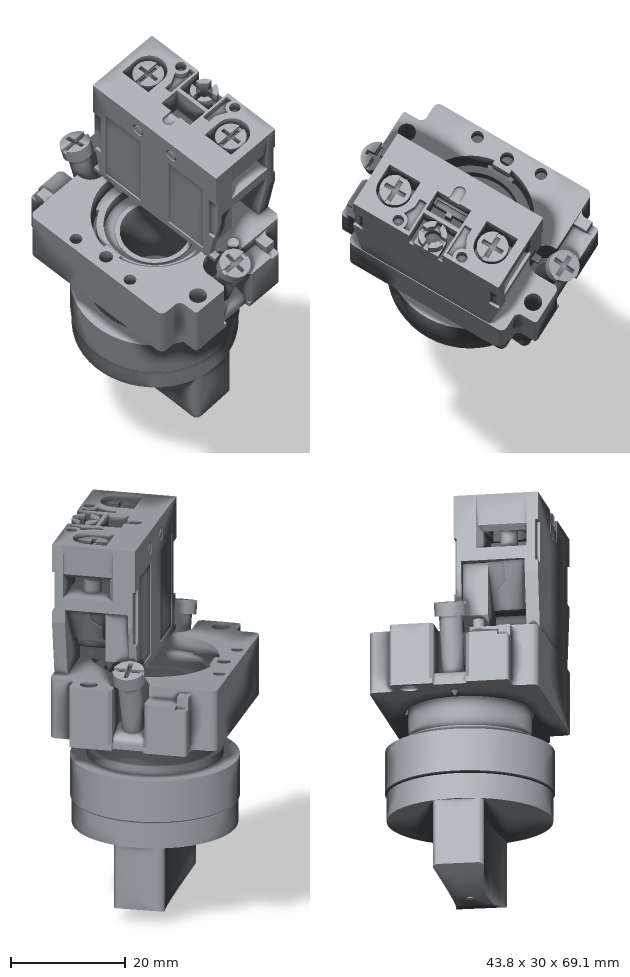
import cadquery as cq
import math


KNOB_DISC_BOTTOM = 14.1
KNOB_DISC_TOP = 18.65
BEZEL_BOTTOM = 19.1
BEZEL_TOP = 26.7
FLANGE_TOP = 28.2
COLLAR_BOTTOM = 33.65
TUBE_TOP = 42.15
COLLAR_TOP = 44.7
BLOCK_TOP = 69.1

JOINT_OVERLAP = 0.7
EDGE_REACH = 0.1

KNOB_DISC_RADIUS = 14.6
KNOB_NECK_RADIUS = 12.65
GRIP_HALF_LENGTH = 14.0
GRIP_HALF_WIDTH = 4.8
GRIP_WAIST = 3.1
GRIP_FILLET = 1.05
GRIP_TURN = 1.8
GRIP_END_RISE = 2.4
PIP_DIAMETER = 1.25
PIP_HEIGHT = 0.15

BEZEL_RADIUS = 14.85
FLANGE_RADIUS = 11.95
TUBE_RADIUS = 10.85
TUBE_BORE_RADIUS = 9.0
TUBE_FLOOR = 39.7
SLEEVE_RADIUS = 7.0
SLEEVE_BORE_RADIUS = 6.15
SLEEVE_TOP = 40.2
SLEEVE_FLOOR = 24.9
RELIEF_RADIUS = 10.2
RELIEF_DEPTH = 2.1
RELIEF_START = 206
RELIEF_END = 256

COLLAR_HALF_WIDTH = 15.95
COLLAR_HALF_DEPTH = 15.0
COLLAR_FILLET = 1.2
WING_HALF_SPAN = 20.0
WING_HALF_DEPTH = 10.6
WING_FILLET = 0.55
WING_ROOT_FILLET = 1.1
COLLAR_BORE_RADIUS = 11.25
KEY_HALF_WIDTH = 1.7
KEY_TIP = 10.35
WING_HOLE_X = 17.5
WING_HOLE_Y = 7.5
WING_HOLE_DIAMETER = 3.2
LEDGE_TOP = 42.65
CORNER_POST_TOP = 44.1
CORNER_STEP_TOP = 42.0
CORNER_POST_SIDE = 18.6
CORNER_POST_FRONT = 8.6
DOWEL_HOLE_X = 6.5
DOWEL_HOLE_Y = 13.2
DOWEL_HOLE_DIAMETER = 2.2
DOWEL_HOLE_DEPTH = 2.75
CENTRE_HOLE_Y = 12.45
CENTRE_HOLE_DIAMETER = 2.5
CENTRE_STEP_DEPTH = 1.4
PEG_X = 14.8
PEG_Y = 4.3
PEG_DIAMETER = 2.0
PEG_TOP = 46.2

SLOT_RADIUS = 2.9
SLOT_CENTRE_X = 15.55
SLOT_LIP_BOTTOM = 34.6
SLOT_LIP_CHAMFER = 0.6
SEAT_FACE_X = 18.9
SEAT_FILLET = 1.5
CLAMP_TILT = 18
CLAMP_HEAD_X = 19.3
CLAMP_HEAD_Z = 48.5
CLAMP_LENGTH = 16.5
CLAMP_HEAD_HEIGHT = 2.4
CLAMP_SHANK_DIAMETER = 4.0
CLAMP_POINT_LENGTH = 2.75

HEAD_DIAMETER = 5.5
HEAD_SLOT_WIDTH = 1.0
HEAD_SLOT_DEPTH = 0.55
HEAD_CROSS_LENGTH = 4.15
HEAD_CROSS_WIDTH = 0.8
HEAD_CROSS_DEPTH = 1.1

BLOCK_HALF_WIDTH = 14.85
BLOCK_FRONT = -0.15
BLOCK_BACK = 14.85
TAPER_TOP = 54.7
TAPER_HALF_WIDTH = 13.05
FOOT_HALF_WIDTH = 14.6
FOOT_BACK = 1.2
FOOT_TOP = 45.55

LABEL_INNER = 3.4
LABEL_OUTER = 11.75
LABEL_BOTTOM = 46.0
LABEL_TOP = 63.15
LABEL_DEPTH = 0.2
RING_X = 4.0
RING_Z = 65.9
RING_OUTER_DIAMETER = 2.5
RING_INNER_DIAMETER = 1.8
RING_DEPTH = 0.35

NOTCH_INNER = 13.0
NOTCH_DEPTH = 0.5
FRONT_NOTCH = (51.35, 61.35)
BACK_NOTCH = (56.7, 64.05)

WELL_X = 9.95
WELL_ARC_Y = 9.05
WELL_RADIUS = 3.2
WELL_FRONT = 5.45
TERMINAL_Y = 8.8
TERMINAL_HEAD_TOP = 68.4
TERMINAL_HEAD_HEIGHT = 2.1
TERMINAL_SHANK_DIAMETER = 3.2
WIRE_BOTTOM = 59.4
WIRE_TOP = 62.8
WIRE_MOUTH_TOP = 63.65
WIRE_FRONT = 4.85
WIRE_MOUTH_FRONT = 3.9
WIRE_BACK = 12.85
WIRE_PANEL_SLOPE = 0.4
WIRE_FUNNEL_DEPTH = 1.65
WIRE_INNER = 5.9

POCKET_TOP = 57.15
POCKET_FRONT = 5.7
POCKET_BACK = 12.5
POCKET_CEILING_OUTER = 13.8
POCKET_CEILING_INNER = 8.2
POCKET_CEILING_BOTTOM = 49.8
POCKET_INNER = 4.15
POCKET_BAR_RADIUS = 1.45
CEILING_STEP = 0.3
STEP_UPPER_Y = 8.6
STEP_UPPER_Z = 54.25
STEP_LOWER_Y = 6.9
STEP_LOWER_Z = 52.7
PANEL_X = 13.1
PANEL_BOTTOM = 47.7
PEG_ROOM_X = 10.35

CLIP_HALF_WIDTH = 3.45
CLIP_FRONT = 9.9
CLIP_DEPTH = 4.15
CROWN_Y = 12.5
CROWN_DIAMETER = 5.0
CROWN_BORE = 3.0
CROWN_SLOT_WIDTH = 1.05
CROWN_SLOT_DEPTH = 2.1
CROWN_BASE_TOP = 66.7
LATCH_FRONT = 5.25
LATCH_BACK = 9.2
LATCH_DEPTH = 5.5
LATCH_PLATE_BACK = 6.6
LATCH_PLATE_DEPTH = 3.45
LATCH_TAB_HALF_WIDTH = 0.55
LATCH_TAB_BACK = 7.45
LATCH_GROOVE_HALF_WIDTH = 3.05
LATCH_GROOVE_FRONT = 5.7
LATCH_GROOVE_DEPTH = 0.55
KEYWAY_DIAMETER = 2.15
KEYWAY_FRONT = 2.35
KEYWAY_DEPTH = 0.7
PIN_HOLE_X = 6.5
PIN_HOLE_Y = 13.4
PIN_HOLE_DIAMETER = 2.0
PIN_HOLE_DEPTH = 2.1
SPRING_INNER = 3.9
SPRING_OUTER = 5.3
SPRING_BEND_X = 6.4
SPRING_FRONT = 8.1
SPRING_BEND_FRONT = 9.75
SPRING_BEND_BACK = 11.95
SPRING_BACK = 14.2
SPRING_DEPTH = 1.4
SPRING_BOSS_RADIUS = 1.6


def box(x0, x1, y0, y1, z0, z1):
    """Block between two opposite corners."""
    return cq.Workplane("XY").box(x1 - x0, y1 - y0, z1 - z0, centered=False).translate((x0, y0, z0))


def cylinder(radius, z0, z1, x=0, y=0):
    """Upright cylinder."""
    return cq.Workplane("XY").circle(radius).extrude(z1 - z0).translate((x, y, z0))


def both_sides(shape):
    """The shape together with its mirror image across the YZ plane."""
    return shape.union(shape.mirror("YZ"))


def half_turn_pair(shape):
    """The shape together with its copy turned half around the switch axis."""
    return shape.union(shape.rotate((0, 0, 0), (0, 0, 1), 180))


def screw_head(height):
    """Screw head with a straight slot and a deeper cross; the top centre is at the origin."""
    head = cylinder(HEAD_DIAMETER / 2, -height, 0)
    slot = cq.Workplane("XY").rect(HEAD_SLOT_WIDTH, 2 * HEAD_DIAMETER).extrude(-HEAD_SLOT_DEPTH)
    cross = cq.Workplane("XY").rect(HEAD_CROSS_LENGTH, HEAD_CROSS_WIDTH).extrude(-HEAD_CROSS_DEPTH)
    cross = cross.union(cross.rotate((0, 0, 0), (0, 0, 1), 90))
    return head.cut(slot).cut(cross)


def make_knob():
    """Disc above a waisted, slightly turned grip, whose lower edge is a shallow arc with a centre pip."""
    corner_x = GRIP_HALF_LENGTH
    corner_y = GRIP_HALF_WIDTH
    grip = (
        cq.Workplane("XY")
        .moveTo(-corner_x, -corner_y)
        .threePointArc((0, -GRIP_WAIST), (corner_x, -corner_y))
        .lineTo(corner_x, corner_y)
        .threePointArc((0, GRIP_WAIST), (-corner_x, corner_y))
        .close()
        .extrude(KNOB_DISC_BOTTOM)
        .edges("|Z")
        .fillet(GRIP_FILLET)
    )
    arc_outline = (
        cq.Workplane("XZ")
        .moveTo(-corner_x, GRIP_END_RISE)
        .threePointArc((0, PIP_HEIGHT), (corner_x, GRIP_END_RISE))
        .lineTo(corner_x, KNOB_DISC_BOTTOM)
        .lineTo(-corner_x, KNOB_DISC_BOTTOM)
        .close()
        .extrude(corner_y, both=True)
    )
    grip = grip.intersect(arc_outline).rotate((0, 0, 0), (0, 0, 1), GRIP_TURN)
    pip = cylinder(PIP_DIAMETER / 2, 0, 2 * PIP_HEIGHT)
    disc = cylinder(KNOB_DISC_RADIUS, KNOB_DISC_BOTTOM, KNOB_DISC_TOP)
    neck = cylinder(KNOB_NECK_RADIUS, KNOB_DISC_TOP, BEZEL_BOTTOM)
    return grip.union(pip).union(disc).union(neck)


def tube_relief():
    """Sector that thins the top of the tube wall on one side of the key."""
    reach = COLLAR_BORE_RADIUS

    def point(radius, degrees):
        angle = math.radians(degrees)
        return (radius * math.cos(angle), radius * math.sin(angle))

    middle = (RELIEF_START + RELIEF_END) / 2
    return (
        cq.Workplane("XY")
        .moveTo(*point(RELIEF_RADIUS, RELIEF_START))
        .threePointArc(point(RELIEF_RADIUS, middle), point(RELIEF_RADIUS, RELIEF_END))
        .lineTo(*point(reach, RELIEF_END))
        .threePointArc(point(reach, middle), point(reach, RELIEF_START))
        .close()
        .extrude(RELIEF_DEPTH)
        .translate((0, 0, TUBE_TOP - RELIEF_DEPTH))
    )


def make_bezel():
    """Bezel ring, flange and tube, with a bored sleeve inside the tube."""
    body = cylinder(BEZEL_RADIUS, BEZEL_BOTTOM, BEZEL_TOP)
    body = body.union(cylinder(FLANGE_RADIUS, BEZEL_TOP, FLANGE_TOP))
    body = body.union(cylinder(TUBE_RADIUS, FLANGE_TOP, TUBE_TOP))
    body = body.cut(cylinder(TUBE_BORE_RADIUS, TUBE_FLOOR, TUBE_TOP))
    body = body.union(cylinder(SLEEVE_RADIUS, TUBE_FLOOR, SLEEVE_TOP))
    body = body.cut(cylinder(SLEEVE_BORE_RADIUS, SLEEVE_FLOOR, SLEEVE_TOP))
    body = body.cut(both_sides(tube_relief()))
    keyway = box(-KEY_HALF_WIDTH, KEY_HALF_WIDTH, -COLLAR_BORE_RADIUS, -KEY_TIP, COLLAR_BOTTOM, TUBE_TOP)
    return body.cut(keyway)


def collar_plate():
    """Rounded plate with a wing on either side."""
    height = COLLAR_TOP - COLLAR_BOTTOM
    plate = cq.Workplane("XY").rect(2 * COLLAR_HALF_WIDTH, 2 * COLLAR_HALF_DEPTH).extrude(height)
    plate = plate.edges("|Z").fillet(COLLAR_FILLET)
    wings = cq.Workplane("XY").rect(2 * WING_HALF_SPAN, 2 * WING_HALF_DEPTH).extrude(height)
    wings = wings.edges("|Z").fillet(WING_FILLET)
    plate = plate.union(wings)
    for side_x in (-1, 1):
        for side_y in (-1, 1):
            x = side_x * COLLAR_HALF_WIDTH
            y = side_y * WING_HALF_DEPTH
            lower = (x - EDGE_REACH, y - EDGE_REACH, 0)
            upper = (x + EDGE_REACH, y + EDGE_REACH, height)
            root = cq.selectors.BoxSelector(lower, upper)
            plate = plate.edges(root).fillet(WING_ROOT_FILLET)
    return plate.translate((0, 0, COLLAR_BOTTOM))


def wing_step():
    """Material missing above the front part of the left wing."""
    outer = -WING_HALF_SPAN
    inner = -COLLAR_HALF_WIDTH
    ledge = box(outer, inner, -CORNER_POST_FRONT, -SLOT_RADIUS, LEDGE_TOP, COLLAR_TOP)
    root = -WING_HALF_DEPTH - WING_ROOT_FILLET
    post = box(outer, inner, root, -CORNER_POST_FRONT, CORNER_POST_TOP, COLLAR_TOP)
    step = box(outer, -CORNER_POST_SIDE, -WING_HALF_DEPTH, -CORNER_POST_FRONT, CORNER_STEP_TOP, COLLAR_TOP)
    return ledge.union(post).union(step)


def screw_slot():
    """Round-ended slot in the left wing, flared at its mouth, with a tilted seat left standing."""
    outer = -WING_HALF_SPAN
    slot = box(outer, -SLOT_CENTRE_X, -SLOT_RADIUS, SLOT_RADIUS, COLLAR_BOTTOM, COLLAR_TOP)
    slot = slot.union(cylinder(SLOT_RADIUS, COLLAR_BOTTOM, COLLAR_TOP, -SLOT_CENTRE_X))
    flare = SLOT_RADIUS + SLOT_LIP_CHAMFER
    mouth = (
        cq.Workplane("XY")
        .polyline([(outer, -flare), (outer, flare), (outer + SLOT_LIP_CHAMFER, SLOT_RADIUS),
                   (outer + SLOT_LIP_CHAMFER, -SLOT_RADIUS)])
        .close()
        .extrude(COLLAR_TOP - SLOT_LIP_BOTTOM)
        .translate((0, 0, SLOT_LIP_BOTTOM))
    )
    inner = -SLOT_CENTRE_X + SLOT_RADIUS
    fillet_setback = SEAT_FILLET * math.tan(math.radians((90 - CLAMP_TILT) / 2))
    seat_outer_z = SLOT_LIP_BOTTOM + fillet_setback
    seat_inner_z = seat_outer_z + (SEAT_FACE_X + inner) * math.tan(math.radians(CLAMP_TILT))
    seat = (
        cq.Workplane("XZ")
        .polyline([(-SEAT_FACE_X, COLLAR_BOTTOM), (-SEAT_FACE_X, seat_outer_z),
                   (inner, seat_inner_z), (inner, COLLAR_BOTTOM)])
        .close()
        .extrude(SLOT_RADIUS, both=True)
    )
    rim = cq.selectors.NearestToPointSelector((-SEAT_FACE_X, 0, seat_outer_z))
    seat = seat.edges(rim).fillet(SEAT_FILLET)
    return slot.union(mouth).cut(seat)


def clamp_screw():
    """Pointed screw of the left wing, leaning outwards at the top."""
    radius = CLAMP_SHANK_DIAMETER / 2
    point_start = CLAMP_POINT_LENGTH - CLAMP_LENGTH
    shank = (
        cq.Workplane("XZ")
        .polyline([(0, -CLAMP_HEAD_HEIGHT), (radius, -CLAMP_HEAD_HEIGHT), (radius, point_start),
                   (0, -CLAMP_LENGTH)])
        .close()
        .revolve(360, (0, 0, 0), (0, 1, 0))
    )
    screw = screw_head(CLAMP_HEAD_HEIGHT).union(shank)
    screw = screw.rotate((0, 0, 0), (0, 1, 0), -CLAMP_TILT)
    return screw.translate((-CLAMP_HEAD_X, 0, CLAMP_HEAD_Z))


def centre_hole():
    """Blind hole at the front, half of its floor one step deeper."""
    radius = CENTRE_HOLE_DIAMETER / 2
    floor = COLLAR_TOP - DOWEL_HOLE_DEPTH
    deep = cylinder(radius, floor - CENTRE_STEP_DEPTH, COLLAR_TOP, 0, -CENTRE_HOLE_Y)
    step = box(-radius, radius, -CENTRE_HOLE_Y - radius, -CENTRE_HOLE_Y, floor - CENTRE_STEP_DEPTH, floor)
    return deep.cut(step)


def make_collar():
    """Clamping collar with its key, holes, locating peg and two leaning screws."""
    collar = collar_plate().cut(cylinder(COLLAR_BORE_RADIUS, COLLAR_BOTTOM, COLLAR_TOP))
    key_root = COLLAR_BORE_RADIUS + JOINT_OVERLAP
    key = box(-KEY_HALF_WIDTH, KEY_HALF_WIDTH, -key_root, -KEY_TIP, COLLAR_BOTTOM, COLLAR_TOP)
    collar = collar.union(key)
    wing_hole = cylinder(WING_HOLE_DIAMETER / 2, COLLAR_BOTTOM, COLLAR_TOP, -WING_HOLE_X, WING_HOLE_Y)
    collar = collar.cut(half_turn_pair(wing_hole))
    collar = collar.cut(half_turn_pair(wing_step()))
    dowel_floor = COLLAR_TOP - DOWEL_HOLE_DEPTH
    dowel_hole = cylinder(DOWEL_HOLE_DIAMETER / 2, dowel_floor, COLLAR_TOP, DOWEL_HOLE_X, -DOWEL_HOLE_Y)
    collar = collar.cut(both_sides(dowel_hole))
    collar = collar.cut(centre_hole())
    collar = collar.union(cylinder(PEG_DIAMETER / 2, COLLAR_TOP - JOINT_OVERLAP, PEG_TOP, PEG_X, PEG_Y))
    collar = collar.cut(both_sides(screw_slot()))
    return collar.union(both_sides(clamp_screw()))


def block_body():
    """Block tapering towards its foot."""
    right = [(BLOCK_HALF_WIDTH, BLOCK_TOP), (BLOCK_HALF_WIDTH, TAPER_TOP),
             (TAPER_HALF_WIDTH, COLLAR_TOP)]
    left = [(-x, z) for x, z in reversed(right)]
    depth = BLOCK_BACK - BLOCK_FRONT
    body = cq.Workplane("XZ").polyline(right + left).close().extrude(-depth).translate((0, BLOCK_FRONT, 0))
    foot = box(-FOOT_HALF_WIDTH, FOOT_HALF_WIDTH, BLOCK_FRONT, FOOT_BACK, COLLAR_TOP, FOOT_TOP)
    return body.union(foot)


def front_marks():
    """Shallow label recess and ring groove on the left half of the front face."""
    label = box(-LABEL_OUTER, -LABEL_INNER, BLOCK_FRONT, BLOCK_FRONT + LABEL_DEPTH, LABEL_BOTTOM, LABEL_TOP)
    ring = (
        cq.Workplane("XZ")
        .circle(RING_OUTER_DIAMETER / 2)
        .circle(RING_INNER_DIAMETER / 2)
        .extrude(-RING_DEPTH)
        .translate((-RING_X, BLOCK_FRONT, RING_Z))
    )
    return label.union(ring)


def edge_notches():
    """Notches in the front and back upright edges of the left side."""
    front = box(-BLOCK_HALF_WIDTH, -NOTCH_INNER, BLOCK_FRONT, BLOCK_FRONT + NOTCH_DEPTH, *FRONT_NOTCH)
    back = box(-BLOCK_HALF_WIDTH, -NOTCH_INNER, BLOCK_BACK - NOTCH_DEPTH, BLOCK_BACK, *BACK_NOTCH)
    return front.union(back)


def terminal_cut():
    """Left screw well, and the wire opening that meets it under a sloping side panel."""
    well = cylinder(WELL_RADIUS, WIRE_TOP, BLOCK_TOP, -WELL_X, WELL_ARC_Y)
    well = well.union(box(-WELL_X - WELL_RADIUS, -WELL_X + WELL_RADIUS, WELL_FRONT, WELL_ARC_Y,
                          WIRE_TOP, BLOCK_TOP))
    outer = -BLOCK_HALF_WIDTH
    funnel_end = outer + WIRE_FUNNEL_DEPTH
    mouth = (
        cq.Workplane("XZ")
        .polyline([(outer, BLOCK_TOP), (outer + WIRE_PANEL_SLOPE, WIRE_MOUTH_TOP), (funnel_end, WIRE_TOP),
                   (funnel_end, WIRE_BOTTOM), (outer, WIRE_BOTTOM)])
        .close()
        .extrude(WIRE_MOUTH_FRONT - WIRE_BACK)
        .translate((0, WIRE_MOUTH_FRONT, 0))
    )
    mouth_plan = (
        cq.Workplane("XY")
        .polyline([(outer, WIRE_MOUTH_FRONT), (funnel_end, WIRE_FRONT), (funnel_end, WIRE_BACK),
                   (outer, WIRE_BACK)])
        .close()
        .extrude(BLOCK_TOP - WIRE_BOTTOM)
        .translate((0, 0, WIRE_BOTTOM))
    )
    mouth = mouth.intersect(mouth_plan)
    chamber = box(funnel_end, -WIRE_INNER, WIRE_FRONT, WIRE_BACK, WIRE_BOTTOM, WIRE_TOP)
    return well.union(mouth).union(chamber)


def terminal_screw():
    """Left terminal screw standing on the floor of the wire opening."""
    head_bottom = TERMINAL_HEAD_TOP - TERMINAL_HEAD_HEIGHT
    head = screw_head(TERMINAL_HEAD_HEIGHT).translate((-WELL_X, TERMINAL_Y, TERMINAL_HEAD_TOP))
    shank_bottom = WIRE_BOTTOM - JOINT_OVERLAP
    shank = cylinder(TERMINAL_SHANK_DIAMETER / 2, shank_bottom, head_bottom, -WELL_X, TERMINAL_Y)
    return head.union(shank)


def side_pocket():
    """Lower pocket of the left side, with a stepped sloping ceiling, a round bar and a shallow panel."""
    outer = -BLOCK_HALF_WIDTH
    pocket = (
        cq.Workplane("XZ")
        .polyline([(outer, COLLAR_TOP), (outer, POCKET_TOP), (-POCKET_CEILING_OUTER, POCKET_TOP),
                   (-POCKET_CEILING_INNER, POCKET_CEILING_BOTTOM), (-POCKET_INNER, POCKET_CEILING_BOTTOM),
                   (-POCKET_INNER, COLLAR_TOP)])
        .close()
        .extrude(POCKET_FRONT - POCKET_BACK)
        .translate((0, POCKET_FRONT, 0))
    )
    step_area = (
        cq.Workplane("YZ")
        .polyline([(POCKET_FRONT, POCKET_TOP), (STEP_UPPER_Y, POCKET_TOP), (STEP_UPPER_Y, STEP_UPPER_Z),
                   (STEP_LOWER_Y, STEP_LOWER_Z), (STEP_LOWER_Y, POCKET_CEILING_BOTTOM),
                   (POCKET_FRONT, POCKET_CEILING_BOTTOM)])
        .close()
        .extrude(outer)
    )
    step = pocket.translate((CEILING_STEP, 0, 0)).intersect(step_area)
    bar = (
        cq.Workplane("XZ")
        .circle(POCKET_BAR_RADIUS)
        .extrude(POCKET_FRONT - POCKET_BACK)
        .translate((-POCKET_INNER, POCKET_FRONT, POCKET_CEILING_BOTTOM - POCKET_BAR_RADIUS))
    )
    panel = box(outer, -PANEL_X, FOOT_BACK, POCKET_FRONT, PANEL_BOTTOM, POCKET_TOP)
    peg_room = (
        cq.Workplane("XZ")
        .polyline([(outer, COLLAR_TOP), (outer, PANEL_BOTTOM), (-PANEL_X, PANEL_BOTTOM),
                   (-PEG_ROOM_X, COLLAR_TOP)])
        .close()
        .extrude(FOOT_BACK - POCKET_FRONT)
        .translate((0, FOOT_BACK, 0))
    )
    return pocket.union(step).cut(bar).union(panel).union(peg_room)


def spring_groove():
    """Bent groove beside a pin hole on the left half of the top face."""
    floor = BLOCK_TOP - SPRING_DEPTH
    groove = (
        cq.Workplane("XY")
        .polyline([(-SPRING_INNER, SPRING_BACK), (-SPRING_INNER, SPRING_FRONT),
                   (-SPRING_OUTER, SPRING_FRONT), (-SPRING_OUTER, SPRING_BEND_FRONT),
                   (-SPRING_BEND_X, SPRING_BEND_BACK), (-SPRING_OUTER, SPRING_BACK)])
        .close()
        .extrude(SPRING_DEPTH)
        .translate((0, 0, floor))
    )
    groove = groove.cut(cylinder(SPRING_BOSS_RADIUS, floor, BLOCK_TOP, -PIN_HOLE_X, PIN_HOLE_Y))
    hole_floor = BLOCK_TOP - PIN_HOLE_DEPTH
    return groove.union(cylinder(PIN_HOLE_DIAMETER / 2, hole_floor, BLOCK_TOP, -PIN_HOLE_X, PIN_HOLE_Y))


def crown():
    """Slotted hollow stud in the clip recess, standing on a square base."""
    radius = CROWN_DIAMETER / 2
    recess_floor = BLOCK_TOP - CLIP_DEPTH
    slot_floor = BLOCK_TOP - CROWN_SLOT_DEPTH
    stud = cylinder(radius, recess_floor - JOINT_OVERLAP, BLOCK_TOP, 0, CROWN_Y)
    slot = cq.Workplane("XY").rect(CROWN_SLOT_WIDTH, 2 * CROWN_DIAMETER).extrude(CROWN_SLOT_DEPTH)
    slot = slot.union(slot.rotate((0, 0, 0), (0, 0, 1), 90)).translate((0, CROWN_Y, slot_floor))
    stud = stud.cut(slot)
    stud = stud.union(box(-radius, radius, CROWN_Y, BLOCK_BACK, recess_floor - JOINT_OVERLAP, CROWN_BASE_TOP))
    return stud.cut(cylinder(CROWN_BORE / 2, recess_floor, BLOCK_TOP, 0, CROWN_Y))


def latch_pocket():
    """Pocket in front of the clip recess, with a grooved plate left inside and a keyway leading to it."""
    plate_top = BLOCK_TOP - LATCH_PLATE_DEPTH
    floor = BLOCK_TOP - LATCH_DEPTH
    pocket = box(-CLIP_HALF_WIDTH, CLIP_HALF_WIDTH, LATCH_FRONT, LATCH_BACK, floor, BLOCK_TOP)
    plate = box(-CLIP_HALF_WIDTH, CLIP_HALF_WIDTH, LATCH_FRONT, LATCH_PLATE_BACK, floor, plate_top)
    plate = plate.union(box(-LATCH_TAB_HALF_WIDTH, LATCH_TAB_HALF_WIDTH, LATCH_PLATE_BACK, LATCH_TAB_BACK,
                            floor, plate_top))
    plate = plate.cut(box(-LATCH_GROOVE_HALF_WIDTH, LATCH_GROOVE_HALF_WIDTH, LATCH_GROOVE_FRONT,
                          LATCH_PLATE_BACK, plate_top - LATCH_GROOVE_DEPTH, plate_top))
    radius = KEYWAY_DIAMETER / 2
    round_y = KEYWAY_FRONT + radius
    keyway_floor = BLOCK_TOP - KEYWAY_DEPTH
    keyway = cylinder(radius, keyway_floor, BLOCK_TOP, 0, round_y)
    keyway = keyway.union(box(-radius, radius, round_y, LATCH_FRONT, keyway_floor, BLOCK_TOP))
    return pocket.cut(plate).union(keyway)


def make_contact_block():
    """Contact block with two terminals, clip recess and latch pocket."""
    block = block_body()
    for cutter in (front_marks(), edge_notches(), terminal_cut(), side_pocket(), spring_groove()):
        block = block.cut(both_sides(cutter))
    clip_floor = BLOCK_TOP - CLIP_DEPTH
    block = block.cut(box(-CLIP_HALF_WIDTH, CLIP_HALF_WIDTH, CLIP_FRONT, BLOCK_BACK, clip_floor, BLOCK_TOP))
    block = block.cut(latch_pocket())
    return block.union(both_sides(terminal_screw())).union(crown())


knob = make_knob()
bezel = make_bezel()
collar = make_collar()
contact_block = make_contact_block()

bodies = [body.solids().val() for body in (knob, bezel, collar, contact_block)]
result = cq.Compound.makeCompound(bodies)